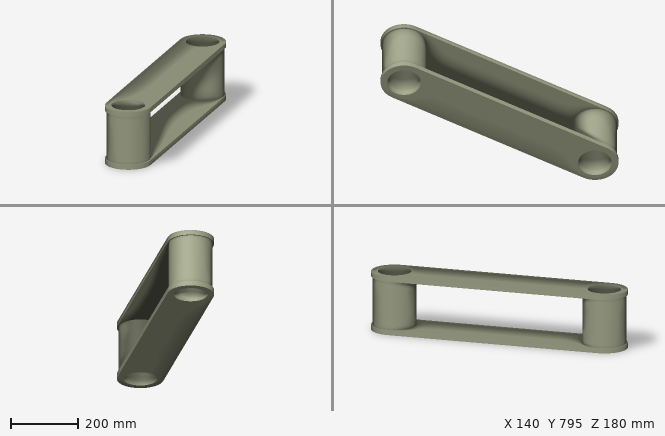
import cadquery as cq

length = 795.0
width = 140.0
height = 180.0

plate_thickness = 15.0
tube_diameter = 130.0
bore_diameter = 100.0
center_distance = length - width
tube_centers = [(0, -center_distance / 2), (0, center_distance / 2)]


def link_plate(bottom_z):
    """Round-ended plate running along Y, with its underside at bottom_z."""
    return (
        cq.Workplane("XY")
        .workplane(offset=bottom_z)
        .slot2D(length, width, 90)
        .extrude(plate_thickness)
    )


def cylinders(diameter):
    """Full-height cylinders on both tube axes."""
    return cq.Workplane("XY").pushPoints(tube_centers).circle(diameter / 2).extrude(height)


bottom_plate = link_plate(0)
top_plate = link_plate(height - plate_thickness)
result = (
    bottom_plate
    .union(cylinders(tube_diameter))
    .union(top_plate)
    .cut(cylinders(bore_diameter))
)